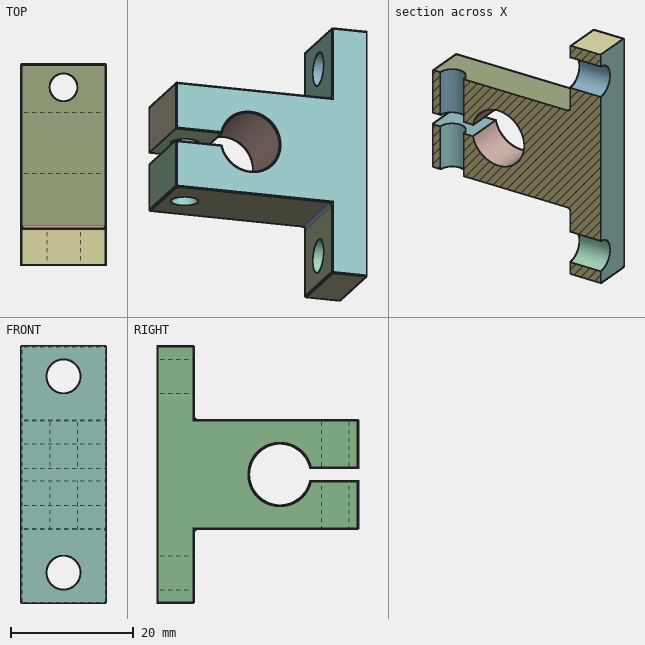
import cadquery as cq

width = 14.0
plate_height = 42.0
plate_thickness = 6.0
total_depth = 32.8
arm_height = 17.9

bore_diameter = 10.0
bore_y = 20.0
slot_height = 2.0

mount_diameter = 5.5
mount_spacing = 32.0
clamp_diameter = 4.5
clamp_y = 29.0

edge_break = 0.2
corner_radius = 0.5


def make_body():
    plate = cq.Workplane("XY").box(width, plate_thickness, plate_height, centered=(True, False, True))
    arm = cq.Workplane("XY").box(width, total_depth, arm_height, centered=(True, False, True))
    return plate.union(arm)


def cut_clamp(body):
    """Cut the shaft bore across X and the slot from the bore to the arm end."""
    bore = (
        cq.Workplane("YZ")
        .center(bore_y, 0)
        .circle(bore_diameter / 2)
        .extrude(width / 2, both=True)
    )
    slot = (
        cq.Workplane("XY")
        .box(width, total_depth - bore_y, slot_height, centered=(True, False, True))
        .translate((0, bore_y, 0))
    )
    return body.cut(bore).cut(slot)


def break_edges(body):
    """Chamfer the outlines of both side faces, except along the mounting face,
    and the long outer edges at the back of the plate and the arm end."""
    side_edges = body.faces("<X or >X").edges("not(<Y)")
    back_edges = body.edges("|X").filter(is_outer_back_edge)
    return body.newObject(side_edges.vals() + back_edges.vals()).chamfer(edge_break)


def is_outer_back_edge(edge):
    center = edge.Center()
    at_plate_end = abs(center.z) > plate_height / 2 - edge_break and center.y > plate_thickness / 2
    at_arm_end = abs(center.z) > arm_height / 2 - edge_break and center.y > total_depth - edge_break
    return at_plate_end or at_arm_end


def round_inside_corners(body):
    """Fillet the two inside corners between plate and arm, after the edges are chamfered."""
    corners = body.edges("|X").filter(is_inside_corner)
    return corners.fillet(corner_radius)


def is_inside_corner(edge):
    center = edge.Center()
    near_plate = abs(center.y - plate_thickness) < edge_break / 2
    on_arm_face = abs(abs(center.z) - arm_height / 2) < edge_break / 2
    return near_plate and on_arm_face


def drill_holes(body):
    """Drill two mounting holes along Y and one clamp screw hole along Z."""
    mounts = (
        cq.Workplane("XZ")
        .pushPoints([(0, mount_spacing / 2), (0, -mount_spacing / 2)])
        .circle(mount_diameter / 2)
        .extrude(-plate_thickness)
    )
    clamp = (
        cq.Workplane("XY")
        .center(0, clamp_y)
        .circle(clamp_diameter / 2)
        .extrude(arm_height / 2, both=True)
    )
    return body.cut(mounts).cut(clamp)


body = cut_clamp(make_body())
body = round_inside_corners(break_edges(body))
result = drill_holes(body)